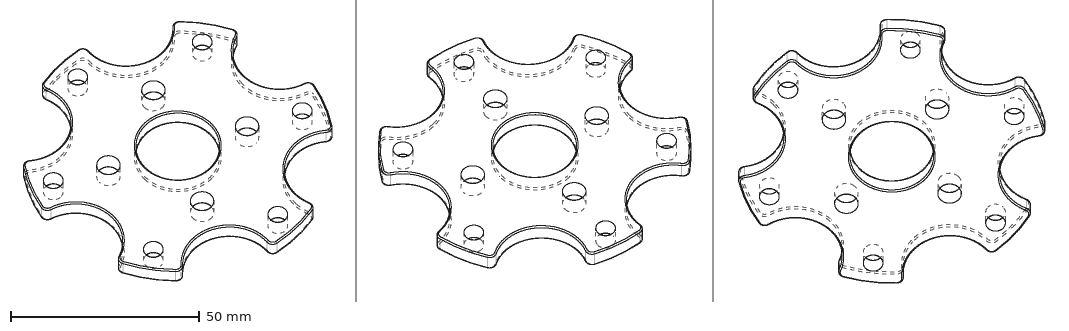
import cadquery as cq

outer_radius = 41.4
thickness = 5.0
arm_count = 6
edge_chamfer = 0.4

scallop_radius = 12.4
corner_radius = 1.8

bore_diameter = 22.2
arm_hole_diameter = 5.2
arm_hole_circle_radius = 35.0
inner_hole_count = 4
inner_hole_diameter = 6.2
inner_hole_circle_radius = 19.5


def star_plate():
    """Disc with scallops cut from its rim, rounded arm corners and chamfered faces."""
    disc = cq.Workplane("XY").circle(outer_radius).extrude(thickness)
    scallops = (
        cq.Workplane("XY")
        .polarArray(outer_radius, 0, 360, arm_count)
        .circle(scallop_radius)
        .extrude(thickness)
    )
    plate = disc.cut(scallops).edges("|Z").fillet(corner_radius)
    bore = cq.Workplane("XY").circle(bore_diameter / 2).extrude(thickness)
    return plate.cut(bore).faces("<Z or >Z").edges().chamfer(edge_chamfer)


def hole_ring(count, circle_radius, diameter, start_angle):
    """Ring of through-hole cutters around the plate axis."""
    return (
        cq.Workplane("XY")
        .polarArray(circle_radius, start_angle, 360, count)
        .circle(diameter / 2)
        .extrude(thickness)
    )


arm_angle = 180 / arm_count
arm_holes = hole_ring(arm_count, arm_hole_circle_radius, arm_hole_diameter, arm_angle)
inner_holes = hole_ring(inner_hole_count, inner_hole_circle_radius, inner_hole_diameter, 0)
result = star_plate().cut(arm_holes).cut(inner_holes)